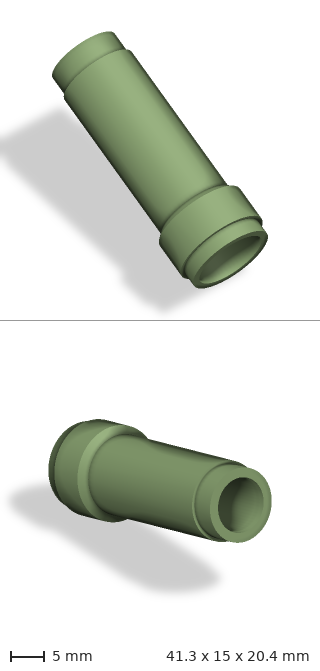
import cadquery as cq
import math

axis_run_x = 94.0
axis_run_y = 4.4
axis_drop_z = 20.0

nose_diameter = 11.35
body_diameter = 12.3
collar_diameter = 14.65
spigot_diameter = 13.4

nose_length = 3.9
body_length = 26.3
cone_length = 1.1
collar_length = 5.85
spigot_length = 2.4

bore_diameter = 8.4
counterbore_diameter = 11.05

body_start = nose_length
cone_start = body_start + body_length
collar_start = cone_start + cone_length
spigot_start = collar_start + collar_length
total_length = spigot_start + spigot_length
counterbore_start = cone_start


def sleeve_along_z():
    """Revolve the stepped wall section about Z, with the nose face at Z = 0."""
    wall_section = [
        (bore_diameter / 2, 0),
        (nose_diameter / 2, 0),
        (nose_diameter / 2, body_start),
        (body_diameter / 2, body_start),
        (body_diameter / 2, cone_start),
        (collar_diameter / 2, collar_start),
        (collar_diameter / 2, spigot_start),
        (spigot_diameter / 2, spigot_start),
        (spigot_diameter / 2, total_length),
        (counterbore_diameter / 2, total_length),
        (counterbore_diameter / 2, counterbore_start),
        (bore_diameter / 2, counterbore_start),
    ]
    profile = cq.Workplane("XZ").polyline(wall_section).close()
    return profile.revolve(360, (0, 0, 0), (0, 1, 0))


def tilt_to_axis(sleeve):
    """Centre the sleeve on the origin and turn its axis to the tilted direction."""
    horizontal_run = math.hypot(axis_run_x, axis_run_y)
    tilt_from_z = 90 + math.degrees(math.atan2(axis_drop_z, horizontal_run))
    heading = -math.degrees(math.atan2(axis_run_y, axis_run_x))
    centred = sleeve.translate((0, 0, -total_length / 2))
    tilted = centred.rotate((0, 0, 0), (0, 1, 0), tilt_from_z)
    return tilted.rotate((0, 0, 0), (0, 0, 1), heading)


result = tilt_to_axis(sleeve_along_z())